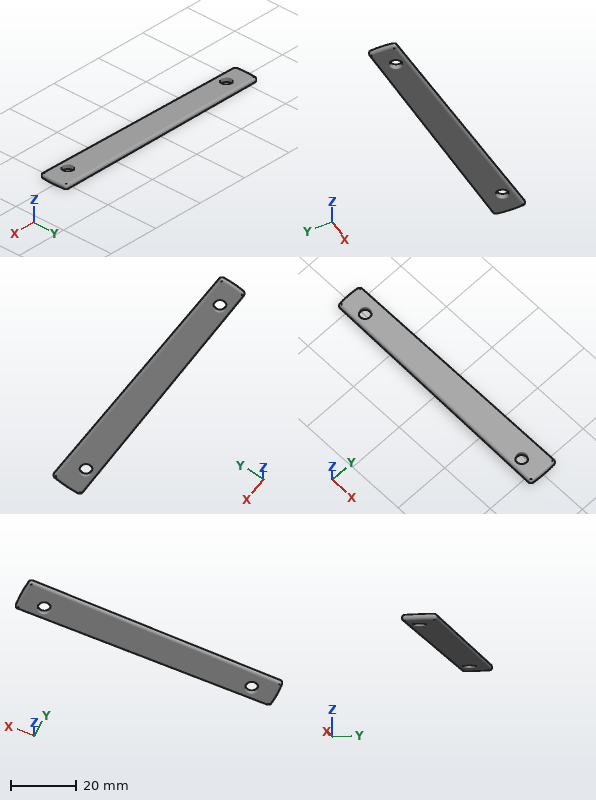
import cadquery as cq

length = 86.7
left_width = 9.5
right_width = 11.0
thickness = 2.0

half_thickness = thickness / 2
corner_radius = 1.0
rim_radius = 0.99
end_bow = 0.35

hole_diameter = 4.0
hole_edge_round = 0.3
left_hole = (-35.0, -5.6)
right_hole = (34.9, -6.9)

half_length = length / 2
corner_x = half_length - end_bow


def tapered_outline():
    """Bar outline with a straight back, a sloping front and bowed ends."""
    return (
        cq.Workplane("XY")
        .moveTo(-corner_x, 0)
        .lineTo(corner_x, 0)
        .threePointArc((half_length, -right_width / 2), (corner_x, -right_width))
        .lineTo(-corner_x, -left_width)
        .threePointArc((-half_length, -left_width / 2), (-corner_x, 0))
        .close()
    )


def rounded_half():
    """Upper half of the bar, with its rim rounded down to the middle plane."""
    half = tapered_outline().extrude(half_thickness)
    half = half.edges("|Z").fillet(corner_radius)
    return half.faces(">Z").edges().fillet(rim_radius)


def hole_cutter():
    """Holes with rounded mouths, made as revolved profiles."""
    radius = hole_diameter / 2
    mouth_radius = radius + hole_edge_round
    straight_height = half_thickness - hole_edge_round
    profile = (
        cq.Workplane("XZ")
        .moveTo(0, -half_thickness)
        .lineTo(mouth_radius, -half_thickness)
        .radiusArc((radius, -straight_height), hole_edge_round)
        .lineTo(radius, straight_height)
        .radiusArc((mouth_radius, half_thickness), hole_edge_round)
        .lineTo(0, half_thickness)
        .close()
    )
    return profile.revolve(360, (0, 0, 0), (0, 1, 0))


upper_half = rounded_half()
result = upper_half.union(upper_half.mirror("XY"))
for x, y in (left_hole, right_hole):
    result = result.cut(hole_cutter().translate((x, y, 0)))